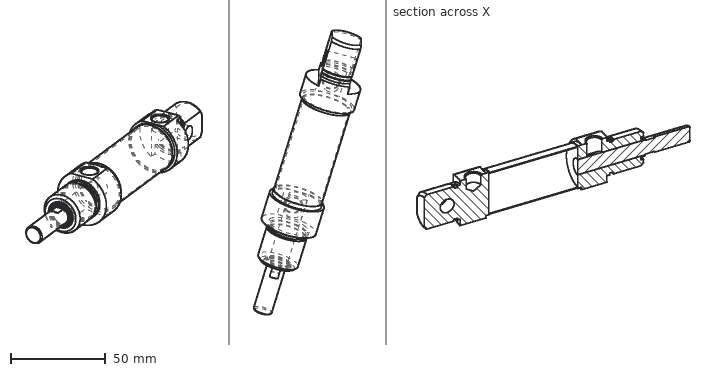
import cadquery as cq
import math

overall_length = 160.0

rod_diameter = 10.0
rod_end_chamfer = 0.6
wrench_flat_width = 9.0
wrench_flat_start = 21.3
wrench_flat_length = 5.8

tube_diameter = 26.5
bore_diameter = 25.0

flange_diameter = 30.0
spigot_diameter = 27.0
flat_height = spigot_diameter / 2
neck_diameter = 22.0
neck_chamfer = 1.6
collar_length = 1.6
relief_diameter = 19.7
relief_width = 2.2
relief_chamfer = 0.6

nose_face = 28.0
nose_length = 22.0
front_flange_start = nose_face + nose_length
front_flange_length = 15.4
front_flange_end = front_flange_start + front_flange_length
front_spigot_length = 2.4
tube_start = front_flange_end + front_spigot_length

lip_tip_diameter = 10.5
lip_diameter = 11.0
lip_root_diameter = 12.2
lip_root_length = 1.1
lip_projection = 0.8
lip_chamfer_length = 0.3
recess_diameter = 14.0
recess_depth = 1.6
mouth_chamfer = 0.5

rear_flange_start = 122.7
rear_flange_length = 15.5
rear_flange_end = rear_flange_start + rear_flange_length
rear_spigot_length = 2.0
tube_end = rear_flange_start - rear_spigot_length
tongue_thickness = 16.0
tongue_start = 134.2
pivot_hole_diameter = 8.0
pivot_hole_from_end = 14.0

port_diameter = 8.6
port_mouth_diameter = 10.0
port_mouth_chamfer = (port_mouth_diameter - port_diameter) / 2
front_port_y = front_flange_end - front_flange_length / 2
rear_port_y = 130.2
rear_port_depth = 6.4
drill_point_angle = 118.0


def revolve_about_y(profile):
    """Revolve a closed (radius, y) outline about the Y axis."""
    return cq.Workplane("XY").polyline(profile).close().revolve(360, (0, 0, 0), (0, 1, 0))


def cylinder_y(diameter, start, end):
    return revolve_about_y([(0, start), (diameter / 2, start), (diameter / 2, end), (0, end)])


def cap_blank(neck_end, flange_start, flange_end, spigot_end):
    """Neck, relief groove, flange and spigot, in order along Y in either direction."""
    direction = math.copysign(1, flange_start - neck_end)
    neck_radius = neck_diameter / 2
    relief_radius = relief_diameter / 2
    flange_radius = flange_diameter / 2
    spigot_radius = spigot_diameter / 2
    relief_end = flange_start - direction * collar_length
    relief_start = relief_end - direction * relief_width
    blank = revolve_about_y([
        (0, neck_end),
        (neck_radius - neck_chamfer, neck_end),
        (neck_radius, neck_end + direction * neck_chamfer),
        (neck_radius, relief_start),
        (relief_radius + relief_chamfer, relief_start),
        (relief_radius, relief_start + direction * relief_chamfer),
        (relief_radius, relief_end),
        (neck_radius, relief_end),
        (neck_radius, flange_start),
        (flange_radius, flange_start),
        (flange_radius, flange_end),
        (spigot_radius, flange_end),
        (spigot_radius, spigot_end),
        (0, spigot_end),
    ])
    above_flat = (
        cq.Workplane("XY")
        .box(flange_diameter, overall_length, flange_diameter, centered=(True, False, False))
        .translate((0, 0, flat_height))
    )
    return blank.cut(above_flat)


def port_cutter(y, depth, point_angle=None):
    """Chamfered round port going down from the flat, with an optional conical drill point."""
    radius = port_diameter / 2
    floor = flat_height - depth
    point_depth = 0
    if point_angle:
        point_depth = radius / math.tan(math.radians(point_angle / 2))
    return (
        cq.Workplane("XZ")
        .moveTo(0, flat_height)
        .lineTo(port_mouth_diameter / 2, flat_height)
        .lineTo(radius, flat_height - port_mouth_chamfer)
        .lineTo(radius, floor)
        .lineTo(0, floor - point_depth)
        .close()
        .revolve(360, (0, 0, 0), (0, 1, 0))
        .translate((0, y, 0))
    )


def make_rod():
    rod = cylinder_y(rod_diameter, 0, tube_start).faces("<Y").chamfer(rod_end_chamfer)
    for side in (1, -1):
        flat_cutter = (
            cq.Workplane("XY")
            .box(rod_diameter, wrench_flat_length, rod_diameter, centered=(True, False, True))
            .translate((0, wrench_flat_start, side * (wrench_flat_width + rod_diameter) / 2))
        )
        rod = rod.cut(flat_cutter)
    return rod


def make_front_cap():
    cap = cap_blank(nose_face, front_flange_start, front_flange_end, tube_start)
    recess_radius = recess_diameter / 2
    recess_floor = nose_face + recess_depth
    cap = cap.cut(revolve_about_y([
        (0, nose_face),
        (recess_radius + mouth_chamfer, nose_face),
        (recess_radius, nose_face + mouth_chamfer),
        (recess_radius, recess_floor),
        (0, recess_floor),
    ]))
    lip_radius = lip_diameter / 2
    lip_tip = nose_face - lip_projection
    cap = cap.union(revolve_about_y([
        (0, lip_tip),
        (lip_tip_diameter / 2, lip_tip),
        (lip_radius, lip_tip + lip_chamfer_length),
        (lip_radius, recess_floor - lip_root_length),
        (lip_root_diameter / 2, recess_floor - lip_root_length),
        (lip_root_diameter / 2, recess_floor),
        (0, recess_floor),
    ]))
    cap = cap.cut(port_cutter(front_port_y, flat_height))
    return cap.cut(cylinder_y(rod_diameter, lip_tip, tube_start))


def make_tube():
    return cylinder_y(tube_diameter, tube_start, tube_end).cut(
        cylinder_y(bore_diameter, tube_start, tube_end)
    )


def make_rear_cap():
    cap = cap_blank(overall_length, rear_flange_end, rear_flange_start, tube_end)
    for side in (1, -1):
        side_cutter = (
            cq.Workplane("XY")
            .box(flange_diameter, overall_length, flange_diameter, centered=(True, False, True))
            .translate((side * (tongue_thickness + flange_diameter) / 2, tongue_start, 0))
        )
        cap = cap.cut(side_cutter)
    pivot_hole = (
        cq.Workplane("YZ")
        .center(overall_length - pivot_hole_from_end, 0)
        .circle(pivot_hole_diameter / 2)
        .extrude(tongue_thickness, both=True)
    )
    cap = cap.cut(pivot_hole)
    return cap.cut(port_cutter(rear_port_y, rear_port_depth, drill_point_angle))


rod = make_rod()
front_cap = make_front_cap()
tube = make_tube()
rear_cap = make_rear_cap()

result = cq.Compound.makeCompound([rod.val(), front_cap.val(), tube.val(), rear_cap.val()])